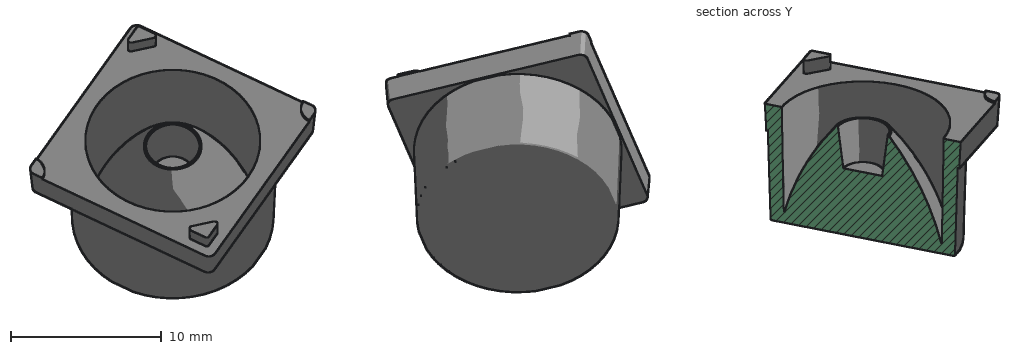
import cadquery as cq
import math

body_height = 6.68
flange_top = 8.70
pad_top = 8.84
peg_top = 9.69

pad_width = 14.12
flange_draft = 3.0
corner_radius = 0.5
pad_radius = 1.15

body_radius = 6.89
body_flat_offset = 6.837
body_draft = 1.7
bottom_edge_radius = 0.15

peg_inner = 4.90
peg_outer = 6.36
peg_tip_radius = 0.20
peg_corner_radius = 0.15

cavity_radius = 5.80
cavity_floor = 0.8
cavity_draft = 1.0
rim_height = 8.08
rim_outer_radius = 1.91
rim_inner_radius = 1.77
dome_mid_radius = 3.10
dome_mid_height = 6.48
cup_radius = 1.38
cup_floor = 5.0


def draft_shift(height, angle):
    """Sideways movement of a drafted wall over a height."""
    return height * math.tan(math.radians(angle))


def rounded_square(width, height):
    """Square outline with rounded corners, placed at a height."""
    outline = cq.Sketch().rect(width, width).vertices().fillet(corner_radius)
    return outline.moved(cq.Location(cq.Vector(0, 0, height)))


def make_flange():
    """Drafted square flange with a raised pad at two opposite corners."""
    height = pad_top - body_height
    bottom_width = pad_width - 2 * draft_shift(height, flange_draft)
    block = (
        cq.Workplane("XY")
        .placeSketch(
            rounded_square(bottom_width, body_height),
            rounded_square(pad_width, pad_top),
        )
        .loft(ruled=True)
    )
    half = pad_width / 2
    step = pad_top - flange_top
    top = cq.Workplane("XY", origin=(0, 0, flange_top))
    lowered = top.rect(pad_width, pad_width).extrude(step)
    pads = top.pushPoints([(half, half), (-half, -half)]).circle(pad_radius).extrude(step)
    return block.cut(lowered.cut(pads))


def make_body():
    """Tapered round body with four narrow flats and a rounded bottom edge."""
    top = cq.Workplane("XY", origin=(0, 0, body_height))
    cone = top.circle(body_radius).extrude(-body_height, taper=body_draft)
    flats = top.rect(2 * body_flat_offset, 2 * body_flat_offset).extrude(-body_height, taper=body_draft)
    rounded_cone = cone.faces("<Z").edges().fillet(bottom_edge_radius)
    rounded_flats = flats.faces("<Z").edges().fillet(bottom_edge_radius)
    return rounded_cone.intersect(rounded_flats)


def make_peg():
    """Triangular peg at the +X, -Y corner of the flange."""
    sharp_inner = peg_inner - math.sqrt(2) * peg_tip_radius
    return (
        cq.Workplane("XY", origin=(0, 0, flange_top))
        .polyline([(sharp_inner, -peg_outer), (peg_outer, -peg_outer), (peg_outer, -sharp_inner)])
        .close()
        .extrude(peg_top - flange_top)
        .edges("|Z and (<X or >Y)")
        .fillet(peg_tip_radius)
        .edges("|Z and >(1, -1, 0)")
        .fillet(peg_corner_radius)
    )


def make_cavity():
    """Round cavity around a domed center post, with a tapered cup sunk into the post."""
    foot_radius = cavity_radius - draft_shift(flange_top - cavity_floor, cavity_draft)
    return (
        cq.Workplane("XZ")
        .moveTo(0, flange_top)
        .lineTo(cavity_radius, flange_top)
        .lineTo(foot_radius, cavity_floor)
        .threePointArc((dome_mid_radius, dome_mid_height), (rim_outer_radius, rim_height))
        .lineTo(rim_inner_radius, rim_height)
        .lineTo(cup_radius, cup_floor)
        .lineTo(0, cup_floor)
        .close()
        .revolve(360, (0, 0), (0, 1))
    )


peg = make_peg()
opposite_peg = peg.rotate((0, 0, 0), (0, 0, 1), 180)
result = make_flange().union(make_body()).cut(make_cavity()).union(peg).union(opposite_peg)